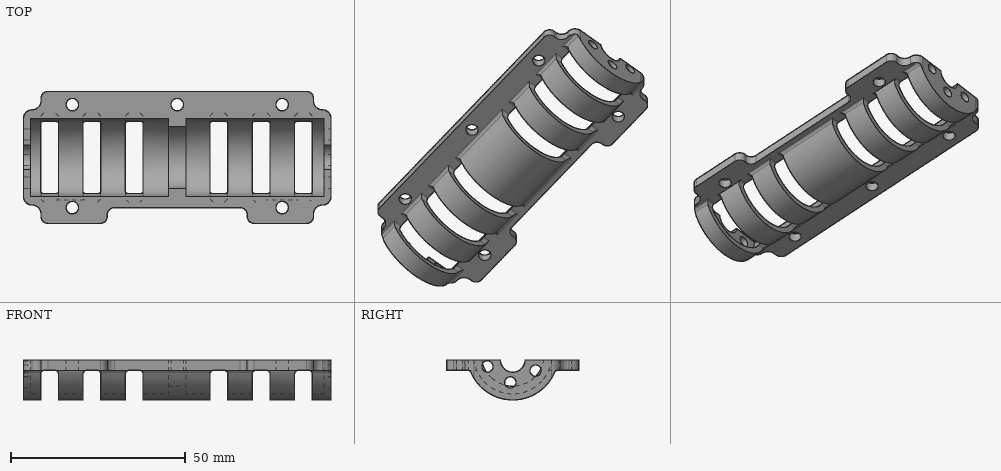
import cadquery as cq
import math

LENGTH = 88.0
WIDTH = 37.79
HEIGHT = 11.5
FLANGE_THICKNESS = 3.0

AXIS_Z = 1.5
OUTER_RADIUS = HEIGHT + AXIS_Z
WALL = 1.75
INNER_RADIUS = OUTER_RADIUS - WALL
END_WALL = 2.0
TROUGH_FILLET = 1.0
RIB_WIDTH = 5.0
RIB_BORE_RADIUS = 9.0

SHOULDER_HALF_WIDTH = 13.65
TAB_HALF_LENGTH = 39.0
RELIEF_HALF_LENGTH = 20.0
RELIEF_Y = -14.4
SHOULDER_FILLET = (LENGTH / 2 - TAB_HALF_LENGTH) / 2
TAB_FILLET = 2.0
RELIEF_FILLET = 2.0

SCREW_DIAMETER = 3.5
SCREW_X = 30.0
BACK_SCREW_Y = 15.1
FRONT_SCREW_Y = -14.35

SLOT_WIDTH = 5.0
SLOT_PITCH = 12.1
SLOTS_PER_SIDE = 3
SLOT_CENTRE_X = -0.2
SLOT_FILLET = 1.0

SHAFT_NOTCH_RADIUS = 3.5
END_HOLE_DIAMETER = 3.2
END_HOLE_CIRCLE_RADIUS = 8.0
END_HOLE_ANGLES = (-35.0, -95.0, -155.0)


def rod_along_x(radius, length, y=0.0, z=AXIS_Z, x=0.0):
    """Cylinder parallel to X, centred at x."""
    return cq.Workplane("YZ", origin=(x - length / 2, y, z)).circle(radius).extrude(length)


def make_plan():
    """Full-depth prism of the outline: half of it drawn with tangent arcs, then mirrored."""
    end_x = LENGTH / 2
    shoulder_arc_x = end_x - SHOULDER_FILLET
    tab_arc_x = TAB_HALF_LENGTH - TAB_FILLET
    tab_y = WIDTH / 2
    shoulder_y = SHOULDER_HALF_WIDTH
    half = (
        cq.Workplane("XY")
        .moveTo(0, RELIEF_Y)
        .lineTo(RELIEF_HALF_LENGTH - RELIEF_FILLET, RELIEF_Y)
        .tangentArcPoint((RELIEF_HALF_LENGTH, RELIEF_Y - RELIEF_FILLET), relative=False)
        .lineTo(RELIEF_HALF_LENGTH, -tab_y + TAB_FILLET)
        .tangentArcPoint((RELIEF_HALF_LENGTH + TAB_FILLET, -tab_y), relative=False)
        .lineTo(tab_arc_x, -tab_y)
        .tangentArcPoint((TAB_HALF_LENGTH, -tab_y + TAB_FILLET), relative=False)
        .lineTo(TAB_HALF_LENGTH, -shoulder_y - SHOULDER_FILLET)
        .tangentArcPoint((shoulder_arc_x, -shoulder_y), relative=False)
        .tangentArcPoint((end_x, -shoulder_y + SHOULDER_FILLET), relative=False)
        .lineTo(end_x, shoulder_y - SHOULDER_FILLET)
        .tangentArcPoint((shoulder_arc_x, shoulder_y), relative=False)
        .tangentArcPoint((TAB_HALF_LENGTH, shoulder_y + SHOULDER_FILLET), relative=False)
        .lineTo(TAB_HALF_LENGTH, tab_y - TAB_FILLET)
        .tangentArcPoint((tab_arc_x, tab_y), relative=False)
        .lineTo(0, tab_y)
        .close()
        .extrude(-HEIGHT)
    )
    return half.union(half.mirror("YZ"))


def make_body():
    """Flange plate and half-round trough, trimmed to the outline."""
    flange = cq.Workplane("XY").box(LENGTH, WIDTH, FLANGE_THICKNESS, centered=(True, True, False))
    flange = flange.translate((0, 0, -FLANGE_THICKNESS))
    upper_half = cq.Workplane("XY").box(LENGTH, WIDTH, 2 * OUTER_RADIUS, centered=(True, True, False))
    trough = rod_along_x(OUTER_RADIUS, LENGTH).cut(upper_half)
    body = flange.union(trough)
    joint_half_width = math.sqrt(OUTER_RADIUS**2 - (AXIS_Z + FLANGE_THICKNESS) ** 2)
    for side in (-1, 1):
        joint = cq.selectors.NearestToPointSelector((0, side * joint_half_width, -FLANGE_THICKNESS))
        body = body.edges("|X").edges(joint).fillet(TROUGH_FILLET)
    return body.intersect(make_plan())


def clear_front_screws(body):
    """Leave the trough fillet off the two front ribs that stand beside a screw hole."""
    depth = HEIGHT - FLANGE_THICKNESS
    strip = cq.Workplane("XY").box(SLOT_PITCH, WIDTH / 2, depth, centered=(True, False, False))
    strip = strip.translate((SLOT_CENTRE_X, -WIDTH / 2, -HEIGHT))
    trough = rod_along_x(OUTER_RADIUS, LENGTH)
    rib_offset = (SLOTS_PER_SIDE - 0.5) * SLOT_PITCH
    for side in (-1, 1):
        body = body.cut(strip.translate((side * rib_offset, 0, 0)).cut(trough))
    return body


def cut_bore(body):
    """Bore two bays either side of the narrower central rib."""
    bay_length = LENGTH / 2 - END_WALL - RIB_WIDTH / 2
    bay_x = (RIB_WIDTH + bay_length) / 2
    for side in (-1, 1):
        body = body.cut(rod_along_x(INNER_RADIUS, bay_length, x=side * bay_x))
    return body.cut(rod_along_x(RIB_BORE_RADIUS, RIB_WIDTH))


def cut_slots(body):
    """Slots across the trough, reaching up to the flange underside with rounded tops."""
    slot_depth = HEIGHT - FLANGE_THICKNESS
    slot = cq.Workplane("XY").box(SLOT_WIDTH, WIDTH, slot_depth, centered=(True, True, False))
    slot = slot.edges("|Y and >Z").fillet(SLOT_FILLET).translate((SLOT_CENTRE_X, 0, -HEIGHT))
    for step in range(1, SLOTS_PER_SIDE + 1):
        for side in (-1, 1):
            body = body.cut(slot.translate((side * step * SLOT_PITCH, 0, 0)))
    return body


def cut_end_openings(body):
    """Shaft notch and three screw holes through both end walls."""
    body = body.cut(rod_along_x(SHAFT_NOTCH_RADIUS, LENGTH, z=0.0))
    for angle in END_HOLE_ANGLES:
        y = END_HOLE_CIRCLE_RADIUS * math.cos(math.radians(angle))
        z = AXIS_Z + END_HOLE_CIRCLE_RADIUS * math.sin(math.radians(angle))
        for side in (-1, 1):
            wall_x = side * (LENGTH - END_WALL) / 2
            body = body.cut(rod_along_x(END_HOLE_DIAMETER / 2, END_WALL, y, z, wall_x))
    return body


def cut_screw_holes(body):
    """Three flange holes at the back and two at the front."""
    places = [(x, BACK_SCREW_Y) for x in (-SCREW_X, 0, SCREW_X)]
    places += [(x, FRONT_SCREW_Y) for x in (-SCREW_X, SCREW_X)]
    holes = cq.Workplane("XY").pushPoints(places).circle(SCREW_DIAMETER / 2).extrude(-FLANGE_THICKNESS)
    return body.cut(holes)


body = clear_front_screws(make_body())
body = cut_bore(body)
body = cut_slots(body)
body = cut_end_openings(body)
result = cut_screw_holes(body)